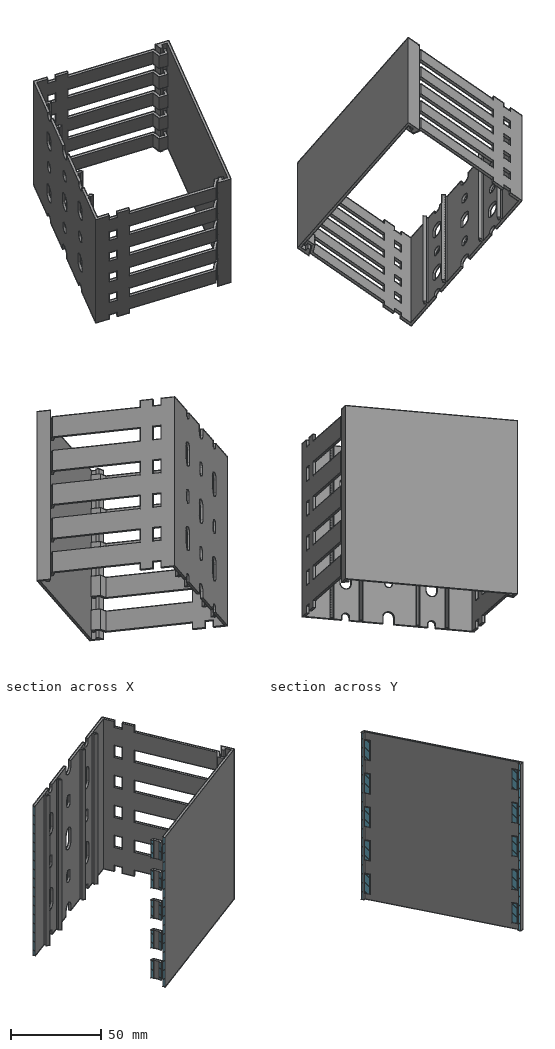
import cadquery as cq

width = 100.0
depth = 80.0
length = 100.0
half_width = width / 2
back_y = depth / 2
front_y = -depth / 2

wall = 1.5

flange_depth = 8.0
catch_reach = 3.5
catch_top_depth = 4.6
catch_edge_depth = 6.3

crank_start_depth = 9.0
crank_end_depth = 6.9
crank_inner_start_depth = 9.9
crank_inner_end_depth = 7.9
hook_outer_inset = 4.1
hook_inner_inset = hook_outer_inset + wall
hook_top_depth = 2.5
hook_tip_inset = 2.0

opening_count = 6
opening_pitch = length / (opening_count - 1)
opening_height = 8.0
finger_root_y = -20.0
window_front_y = -32.0
window_depth = 4.8

slot_pitch = length / 4
large_slot_width = 6.5
large_slot_length = 14.0
small_slot_width = 4.5
small_slot_length = 8.0

rib_offset = 8.5
rib_height = 3.2
rib_stem_width = 1.2
rib_barb_width = 2.3
rib_barb_height = 1.4
rib_stem_height = 1.2


def extrude_profile(points):
    """Extrude an XY outline over the full length, centred on Z = 0."""
    return cq.Workplane("XY").polyline(points).close().extrude(length / 2, both=True)


def mirrored_outline(left_half):
    """Close a left-hand outline with its mirror image across X = 0."""
    return left_half + [(-x, y) for x, y in reversed(left_half)]


def make_cover():
    inner_x = -half_width + wall
    left_half = [
        (-half_width, back_y),
        (-half_width, back_y - flange_depth),
        (-half_width + catch_reach, back_y - catch_edge_depth),
        (-half_width + catch_reach, back_y - catch_top_depth),
        (inner_x, back_y - catch_top_depth),
        (inner_x, back_y - wall),
    ]
    return extrude_profile(mirrored_outline(left_half))


def make_duct_shell():
    inner_x = -half_width + wall
    hook_outer_x = -half_width + hook_outer_inset
    hook_inner_x = -half_width + hook_inner_inset
    hook_tip_x = -half_width + hook_tip_inset
    hook_top_y = back_y - hook_top_depth
    left_half = [
        (-half_width, front_y),
        (-half_width, back_y - crank_start_depth),
        (hook_outer_x, back_y - crank_end_depth),
        (hook_outer_x, hook_top_y - wall),
        (hook_tip_x, hook_top_y - wall),
        (hook_tip_x, hook_top_y),
        (hook_inner_x, hook_top_y),
        (hook_inner_x, back_y - crank_inner_end_depth),
        (inner_x, back_y - crank_inner_start_depth),
        (inner_x, front_y + wall),
    ]
    return extrude_profile(mirrored_outline(left_half))


def make_rib(x):
    floor_y = front_y + wall
    left_half = [
        (-rib_stem_width / 2, floor_y),
        (-rib_stem_width / 2, floor_y + rib_stem_height),
        (-rib_barb_width / 2, floor_y + rib_barb_height),
    ]
    right_half = [(-px, py) for px, py in reversed(left_half)]
    tip = (0, floor_y + rib_height)
    return extrude_profile(left_half + [tip] + right_half).translate((x, 0, 0))


def side_opening(y_start, y_end, z):
    """Cutter through both side walls between two Y positions."""
    return cq.Workplane("XY").box(width, y_end - y_start, opening_height).translate(
        (0, (y_start + y_end) / 2, z)
    )


def mounting_slot(x, z, slot_width, slot_length):
    """Round-ended cutter through the base plate, long along Z."""
    return (
        cq.Workplane("XZ", origin=(x, front_y + wall, z))
        .slot2D(slot_length, slot_width, 90)
        .extrude(wall)
    )


def make_duct():
    duct = make_duct_shell()

    for row in range(opening_count):
        z = row * opening_pitch - length / 2
        duct = duct.cut(side_opening(finger_root_y, back_y, z))
        duct = duct.cut(side_opening(window_front_y, window_front_y + window_depth, z))

    for column in (-1, 0, 1):
        for row in (-2, -1, 0, 1, 2):
            x = column * slot_pitch
            z = row * slot_pitch
            if (column + row) % 2 == 0:
                duct = duct.cut(mounting_slot(x, z, large_slot_width, large_slot_length))
            else:
                duct = duct.cut(mounting_slot(x, z, small_slot_width, small_slot_length))

    for side in (-1, 1):
        for offset in (-rib_offset, rib_offset):
            duct = duct.union(make_rib(side * slot_pitch + offset))
    return duct


cover = make_cover()
duct = make_duct()

result = cq.Compound.makeCompound([cover.val(), duct.val()])